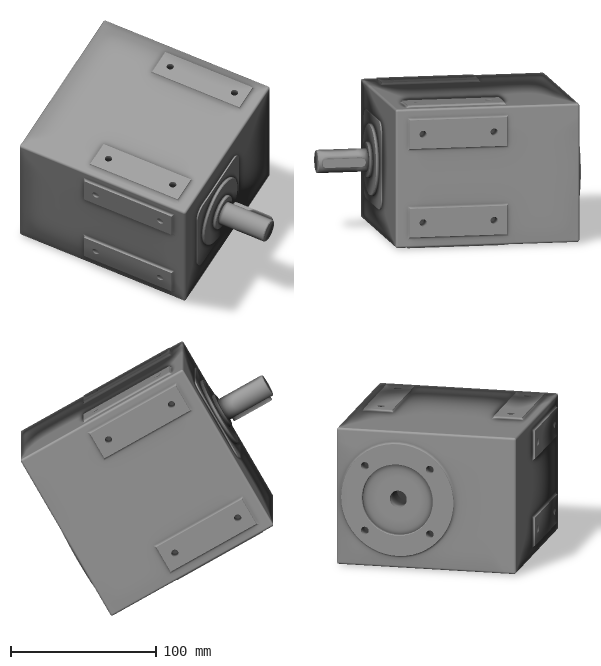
import cadquery as cq
import math

overall_length = 171.0
overall_width = 130.0
overall_height = 100.0
pad_height = 1.5
input_flange_height = 1.5
housing_length = 129.1
housing_width = overall_width - 2 * pad_height
housing_height = overall_height - 2 * pad_height
housing_edge = 1.5

pad_length = 68.0
pad_width = 20.0
pad_center_x = 85.3
side_pad_offset = 31.0
top_pad_offset = 46.0
pad_hole_spacing = 50.0
pad_hole_diameter = 5.0
pad_hole_depth = 10.0
drill_tip_angle = 118.0

input_y = 20.0
input_flange_diameter = 79.5
pilot_bore_diameter = 50.0
pilot_bore_depth = 3.0
pilot_bore_chamfer = 0.3
input_bore_diameter = 12.0
input_bore_depth = 25.0
flange_hole_diameter = 5.5
flange_hole_spacing = 46.0
flange_hole_depth = 10.0

output_y = -15.9
plate_size = 61.9
plate_corner_radius = 8.0
plate_reach = 1.0
cover_diameter = 50.0
cover_reach = 3.0
collar_diameter = 25.0
collar_reach = 5.3
shoulder_chamfer = 0.5
shaft_diameter = 16.0
shaft_reach = overall_length - input_flange_height - housing_length
shaft_chamfer = 0.5
key_length = 30.5
key_width = 6.0
key_start = 7.5
key_top = 10.3


def housing():
    block = cq.Workplane("XY").box(housing_length, housing_width, housing_height)
    return block.edges().fillet(housing_edge).translate((housing_length / 2, 0, 0))


def pad():
    """Pad rising from the XY plane, its sides flaring out at the foot in a hollow quarter round."""
    base_length = pad_length + 2 * pad_height
    base_width = pad_width + 2 * pad_height
    block = cq.Workplane("XY").rect(base_length, base_width).extrude(pad_height)
    ends = [(-base_length / 2, pad_height), (base_length / 2, pad_height)]
    end_rods = cq.Workplane("XZ").pushPoints(ends).circle(pad_height).extrude(base_width, both=True)
    sides = [(-base_width / 2, pad_height), (base_width / 2, pad_height)]
    side_rods = cq.Workplane("YZ").pushPoints(sides).circle(pad_height).extrude(base_length, both=True)
    return block.cut(end_rods).cut(side_rods)


def pad_holes():
    """Two drilled holes with conical bottoms, entering at the pad top."""
    radius = pad_hole_diameter / 2
    tip_depth = pad_hole_depth + radius / math.tan(math.radians(drill_tip_angle / 2))
    profile = [(0, 0), (radius, 0), (radius, -pad_hole_depth), (0, -tip_depth)]
    drill = cq.Workplane("XZ").polyline(profile).close().revolve(360, (0, 0, 0), (0, 1, 0))
    drill = drill.translate((0, 0, pad_height))
    half_spacing = pad_hole_spacing / 2
    return drill.translate((-half_spacing, 0, 0)).union(drill.translate((half_spacing, 0, 0)))


def on_long_faces(shape):
    """Copy a shape to the two pad places on each of the four long faces."""
    copies = cq.Workplane("XY")
    faces = [
        (0, housing_height / 2, top_pad_offset),
        (90, housing_width / 2, side_pad_offset),
        (180, housing_height / 2, top_pad_offset),
        (270, housing_width / 2, side_pad_offset),
    ]
    for angle, face_distance, pad_offset in faces:
        for side in (-1, 1):
            placed = shape.translate((pad_center_x, side * pad_offset, face_distance))
            copies = copies.add(placed.rotate((0, 0, 0), (1, 0, 0), angle))
    return copies.combine()


def input_flange():
    """Low disc on the input face whose rim flares out to the face in a hollow quarter round."""
    rim_radius = input_flange_diameter / 2
    foot_radius = rim_radius + input_flange_height
    arc_inset = input_flange_height * math.sqrt(0.5)
    arc_middle = (arc_inset - input_flange_height, foot_radius - arc_inset)
    profile = cq.Workplane("XY").lineTo(-input_flange_height, 0).lineTo(-input_flange_height, rim_radius)
    profile = profile.threePointArc(arc_middle, (0, foot_radius)).close()
    return profile.revolve(360, (0, 0, 0), (1, 0, 0)).translate((0, input_y, 0))


def input_cuts():
    """Pilot bore, shaft bore and the four bolt holes, all from the input flange face."""
    face = cq.Workplane("YZ", origin=(-input_flange_height, input_y, 0))
    pilot = face.circle(pilot_bore_diameter / 2).extrude(pilot_bore_depth)
    mouth_radius = pilot_bore_diameter / 2 + pilot_bore_chamfer
    mouth = face.circle(mouth_radius).extrude(pilot_bore_chamfer, taper=45)
    bore = face.circle(input_bore_diameter / 2).extrude(input_bore_depth)
    bolt_places = face.rect(flange_hole_spacing, flange_hole_spacing, forConstruction=True).vertices()
    bolts = bolt_places.circle(flange_hole_diameter / 2).extrude(flange_hole_depth)
    return pilot.union(mouth).union(bore).union(bolts)


def output_step(diameter, reach, chamfer):
    """Round step on the output axis with a chamfered end."""
    step = cq.Workplane("YZ").circle(diameter / 2).extrude(reach)
    return step.faces(">X").chamfer(chamfer)


def key():
    """Round-ended key standing out of the +Y side of the shaft."""
    outline = cq.Workplane("XZ").center(key_start + key_length / 2, 0).slot2D(key_length, key_width)
    return outline.extrude(-key_top)


def output_side():
    plate = cq.Workplane("YZ").rect(plate_size, plate_size).extrude(plate_reach)
    body = plate.edges("|X").fillet(plate_corner_radius)
    body = body.union(output_step(cover_diameter, cover_reach, shoulder_chamfer))
    body = body.union(output_step(collar_diameter, collar_reach, shoulder_chamfer))
    body = body.union(output_step(shaft_diameter, shaft_reach, shaft_chamfer))
    return body.union(key()).translate((housing_length, output_y, 0))


result = housing().union(on_long_faces(pad())).union(input_flange()).union(output_side())
result = result.cut(on_long_faces(pad_holes())).cut(input_cuts())